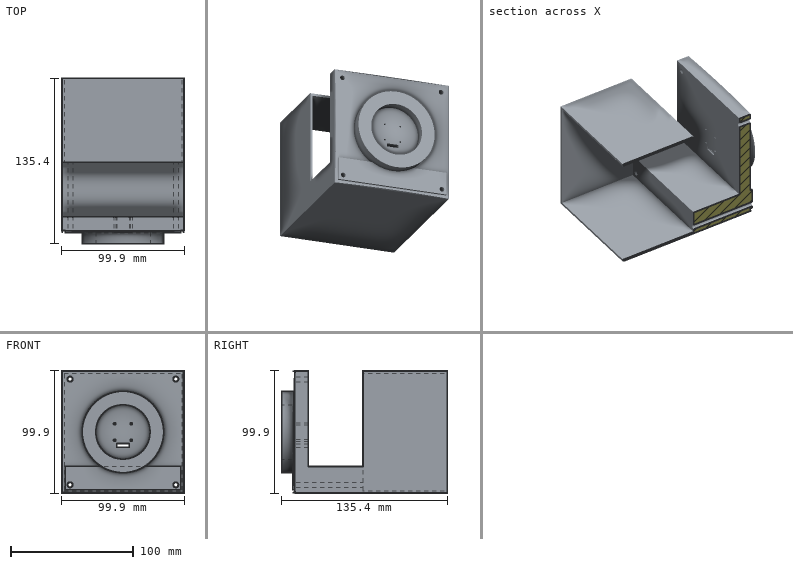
import cadquery as cq
import math

side = 99.9
depth = 135.4
middle = side / 2

face_y = 10.8
plate_thickness = 11.1
notch_length = 44.5
notch_floor = 22.0
wall = 2.0
notch_front = face_y + plate_thickness
notch_rear = notch_front + notch_length

ridge_width = 0.5
ridge_rise = 1.2
ridge_lean = 0.4
lean_setback = 0.4
lean_start_y = face_y + lean_setback

ring_diameter = 66.6
bore_diameter = 44.4
bore_depth = 9.0
strip_inset = 2.7
strip_top = 22.0
strip_thickness = 1.9

corner_hole_diameter = 4.0
corner_hole_pitch = 86.4
pin_hole_diameter = 1.5
pin_hole_pitch = 13.5
slot_width = 10.0
slot_height = 2.7
slot_drop = 11.0


def block(width, y_front, y_rear, z_bottom, z_top):
    """Box centred on X between the given Y and Z limits."""
    return cq.Workplane("XY").box(
        width, y_rear - y_front, z_top - z_bottom, centered=(True, False, False)
    ).translate((0, y_front, z_bottom))


def cylinder(diameter, y_front, y_rear):
    """Cylinder along Y on the centre of the front face."""
    plane = cq.Workplane("XZ", origin=(0, y_front, middle))
    return plane.circle(diameter / 2).extrude(y_front - y_rear)


def square_of_holes(diameter, pitch):
    """Four holes along Y through the whole part."""
    plane = cq.Workplane("XZ", origin=(0, 0, middle))
    return plane.rect(pitch, pitch, forConstruction=True).vertices().circle(diameter / 2).extrude(-depth)


def edge_ridges():
    """Four thin arc-shaped ridges, one along each edge of the front face."""
    bottom_ridge = (
        cq.Workplane("XY")
        .moveTo(-middle, face_y)
        .threePointArc((0, face_y - ridge_rise), (middle, face_y))
        .close()
        .extrude(ridge_width)
    )
    ridges = bottom_ridge
    for angle in (90, 180, 270):
        ridges = ridges.union(bottom_ridge.rotate((0, 0, middle), (0, 1, middle), angle))
    return ridges


def leaning_envelope():
    """Shallow pyramid frustum that makes the outer sides of the ridges lean inward."""
    height = lean_setback + ridge_rise
    lean_angle = math.degrees(math.atan(ridge_lean / height))
    plane = cq.Workplane("XZ", origin=(0, lean_start_y, middle))
    return plane.rect(side, side).extrude(height, taper=lean_angle)


front_skin = block(side, face_y, lean_start_y, 0, side).union(edge_ridges())
body = block(side, lean_start_y, depth, 0, side)
body = body.union(front_skin.intersect(leaning_envelope()))
body = body.cut(block(side, notch_front, notch_rear, notch_floor, side))
body = body.cut(block(side - 2 * wall, notch_rear, depth, wall, side - wall))

strip = block(side - 2 * strip_inset, face_y - strip_thickness, face_y, strip_inset, strip_top)
body = body.union(strip)
body = body.union(cylinder(ring_diameter, 0, face_y))
body = body.cut(cylinder(bore_diameter, 0, bore_depth))

body = body.cut(square_of_holes(corner_hole_diameter, corner_hole_pitch))
body = body.cut(square_of_holes(pin_hole_diameter, pin_hole_pitch))
slot_middle = middle - slot_drop
slot = block(slot_width, 0, notch_front, slot_middle - slot_height / 2, slot_middle + slot_height / 2)
result = body.cut(slot)